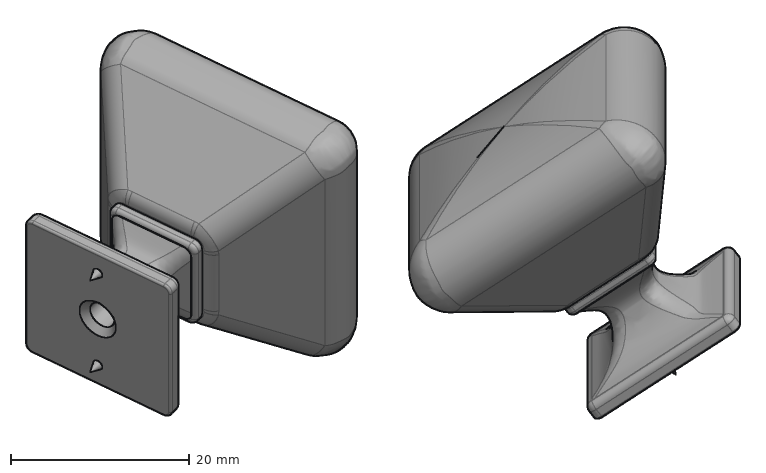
import cadquery as cq
import math


right_angle = 90.0

plate_width = 20.0
plate_thickness = 2.15
collar_width = 12.0
collar_thickness = 1.5
slab_corner_radius = 1.0
plate_neck_side_radius = 0.85
collar_neck_side_radius = 0.6
slab_outer_radius = 0.3
base_height = 12.0
collar_start = base_height - collar_thickness
neck_plate_half = 9.0
neck_foot_half = 5.5
neck_foot_height = 3.4
neck_foot_slope = 0.2
neck_collar_slope = 1.0
neck_collar_half = 5.5
neck_waist_half = 3.5
waist_height = 7.0
neck_corner_radius = 2.0

hole_diameter = 3.3
countersink_diameter = 5.0
countersink_angle = 90.0
spike_diameter = 1.25
spike_length = 1.5
spike_offset = 7.0

head_width = 33.0
head_length = 20.0
head_base_width = 14.0
head_rim_radius = 5.0
rim_height = 25.5
head_corner_radius = 3.5
head_base_radius = 2.0
head_top = base_height + head_length


def square_body(profile, width):
    """Intersect a profile swept along Z with the same profile swept along X."""
    along_z = profile.extrude(width).translate((0, 0, -width / 2))
    along_x = along_z.rotate((0, 0, 0), (0, 1, 0), right_angle)
    return along_z.intersect(along_x)


def slab(width, thickness, start, outer_face, neck_face, neck_side_radius):
    """Square slab with rounded corners, softened on both faces."""
    block = cq.Workplane("XZ", origin=(0, start, 0)).rect(width, width).extrude(-thickness)
    block = block.edges("|Y").fillet(slab_corner_radius)
    block = block.faces(neck_face).edges().fillet(neck_side_radius)
    return block.faces(outer_face).edges().fillet(slab_outer_radius)


def make_neck():
    """Waisted square neck with rounded corner ridges."""
    right_side = [
        (neck_foot_half, neck_foot_height),
        (neck_waist_half, waist_height),
        (neck_collar_half, collar_start),
    ]
    left_side = [(-x, y) for x, y in reversed(right_side)]
    plate_corner = (neck_plate_half, plate_thickness)
    rise_from_plate = (-1, neck_foot_slope)
    fall_to_plate = (-1, -neck_foot_slope)
    flare_out = (1, neck_collar_slope)
    flare_in = (1, -neck_collar_slope)
    profile = (
        cq.Workplane("XY")
        .moveTo(-neck_plate_half, plate_thickness)
        .lineTo(*plate_corner)
        .spline(right_side, tangents=[rise_from_plate, flare_out], includeCurrent=True)
        .lineTo(*left_side[0])
        .spline(
            [*left_side[1:], (-neck_plate_half, plate_thickness)],
            tangents=[flare_in, fall_to_plate],
            includeCurrent=True,
        )
        .close()
    )
    return square_body(profile, plate_width).edges("not(|X or |Z)").fillet(neck_corner_radius)


def make_base():
    """Plate, neck, collar and spikes as one body, drilled through for the screw."""
    base = slab(plate_width, plate_thickness, 0, "<Y", ">Y", plate_neck_side_radius)
    base = base.union(make_neck())
    base = base.union(slab(collar_width, collar_thickness, collar_start, ">Y", "<Y", collar_neck_side_radius))
    for z in (-spike_offset, spike_offset):
        spike = cq.Solid.makeCone(
            spike_diameter / 2, 0, spike_length, pnt=cq.Vector(0, 0, z), dir=cq.Vector(0, -1, 0)
        )
        base = base.union(cq.Workplane(spike))
    return (
        base.copyWorkplane(cq.Workplane("XZ"))
        .cskHole(hole_diameter, countersink_diameter, countersink_angle)
    )


def make_head():
    """Flared knob head with a rounded rim and a low four-sided dome."""
    rim_x = head_width / 2 - head_rim_radius
    base_half = head_base_width / 2
    run = rim_x - base_half
    rise = rim_height - base_height
    flank_angle = math.atan2(run, rise) + math.asin(head_rim_radius / math.hypot(run, rise))
    flank_x = rim_x + head_rim_radius * math.cos(flank_angle)
    flank_y = rim_height - head_rim_radius * math.sin(flank_angle)
    crown = head_top - rim_height
    dome_radius = (rim_x**2 + crown**2 - head_rim_radius**2) / (2 * (crown - head_rim_radius))
    dome_angle = math.asin(rim_x / (dome_radius - head_rim_radius))
    dome_x = dome_radius * math.sin(dome_angle)
    dome_y = head_top - dome_radius * (1 - math.cos(dome_angle))
    profile = (
        cq.Workplane("XY")
        .moveTo(-base_half, base_height)
        .lineTo(base_half, base_height)
        .lineTo(flank_x, flank_y)
        .threePointArc((head_width / 2, rim_height), (dome_x, dome_y))
        .threePointArc((0, head_top), (-dome_x, dome_y))
        .threePointArc((-head_width / 2, rim_height), (-flank_x, flank_y))
        .close()
    )
    head = square_body(profile, head_width)
    head = head.edges("not(|X or |Z)").fillet(head_corner_radius)
    return head.faces("<Y").edges().fillet(head_base_radius)


base = make_base()
head = make_head()
result = cq.Compound.makeCompound([base.val(), head.val()])